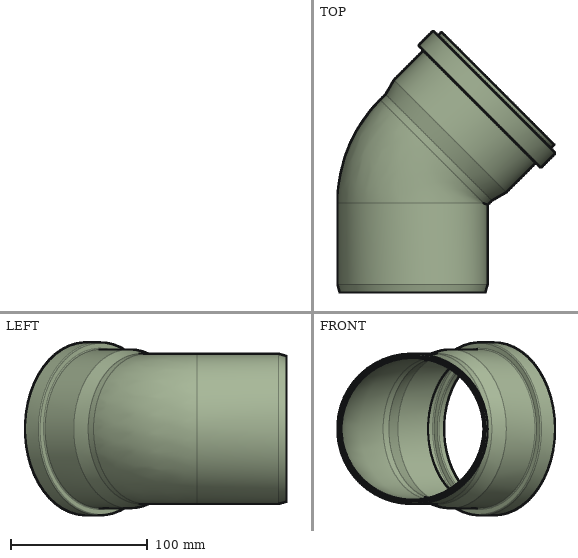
import cadquery as cq
import math


bend_angle = 45.0
bend_radius = 52.0
pipe_radius = 110.2 / 2
bore_radius = 103.8 / 2
spigot_length = 65.5
spigot_taper_length = 6.0
spigot_taper_depth = 1.7

wall = 2.9
socket_radius = 116.5 / 2
socket_bore_radius = socket_radius - wall
lip_radius = 116.8 / 2
lip_bore_radius = lip_radius - wall
flare_angle = 15.0
outer_flare_start = 5.6
inner_flare_start = 5.9
socket_length = 66.8

bead_radius = 126.9 / 2
groove_radius = bead_radius - wall
bead_start = 47.8
bead_end = 63.2
bead_side_wall = 2.6
groove_start = bead_start + bead_side_wall
groove_end = bead_end - bead_side_wall
corner_fillet = 0.8

turn = math.radians(bend_angle)
socket_origin = (bend_radius * (1 - math.cos(turn)), bend_radius * math.sin(turn), 0)


def turned(outline):
    """Revolve an outline of (radius, station) points about the Y axis."""
    return cq.Workplane("XY").polyline(outline).close().revolve(360, (0, 0, 0), (0, 1, 0))


def flare_length(start_radius, end_radius):
    """Axial length of the cone between two radii."""
    return (end_radius - start_radius) / math.tan(math.radians(flare_angle))


def round_band(body, start, end):
    """Fillet the root and crest circles at both sides of a raised band on a turned body."""
    root = cq.selectors.RadiusNthSelector(0)
    crest = cq.selectors.RadiusNthSelector(-1)
    for station in (start, end):
        side_plane = cq.selectors.BoxSelector(
            (-bead_radius, station - corner_fillet / 2, -bead_radius),
            (bead_radius, station + corner_fillet / 2, bead_radius),
        )
        for circle in (root, crest):
            body = body.edges(side_plane).edges(circle).fillet(corner_fillet)
    return body


def place_socket(body):
    """Move a body turned about Y onto the socket axis."""
    return body.rotate((0, 0, 0), (0, 0, 1), -bend_angle).translate(socket_origin)


def make_spigot():
    """Plain pipe end, tapered at the tip."""
    end_radius = pipe_radius - spigot_taper_depth
    return turned([
        (0, 0),
        (pipe_radius, 0),
        (pipe_radius, spigot_taper_length - spigot_length),
        (end_radius, -spigot_length),
        (0, -spigot_length),
    ])


def make_bend(radius):
    """Sweep a disc round the bend, trimmed at the bend axis where it would cross it."""
    disc = cq.Sketch().circle(radius)
    if radius > bend_radius:
        trim_width = 2 * radius
        trim = cq.Sketch().push([(bend_radius + trim_width / 2, 0)]).rect(trim_width, trim_width)
        disc = disc.reset().face(trim, mode="s")
    return (
        cq.Workplane("XZ")
        .placeSketch(disc)
        .revolve(bend_angle, (bend_radius, 1, 0), (bend_radius, 0, 0))
    )


def make_socket():
    """Solid outside of the socket: neck, flare, barrel, bead and lip."""
    flare_end = outer_flare_start + flare_length(pipe_radius, socket_radius)
    body = turned([
        (0, 0),
        (pipe_radius, 0),
        (pipe_radius, outer_flare_start),
        (socket_radius, flare_end),
        (socket_radius, bead_start),
        (bead_radius, bead_start),
        (bead_radius, bead_end),
        (lip_radius, bead_end),
        (lip_radius, socket_length),
        (0, socket_length),
    ])
    return round_band(body, bead_start, bead_end)


def make_socket_bore():
    """Hollow of the socket, with the seal groove as a raised band."""
    flare_end = inner_flare_start + flare_length(bore_radius, socket_bore_radius)
    body = turned([
        (0, 0),
        (bore_radius, 0),
        (bore_radius, inner_flare_start),
        (socket_bore_radius, flare_end),
        (socket_bore_radius, groove_start),
        (groove_radius, groove_start),
        (groove_radius, groove_end),
        (lip_bore_radius, groove_end),
        (lip_bore_radius, socket_length),
        (0, socket_length),
    ])
    return round_band(body, groove_start, groove_end)


def make_spigot_bore():
    """Hollow of the spigot."""
    return turned([(0, 0), (bore_radius, 0), (bore_radius, -spigot_length), (0, -spigot_length)])


outside = make_spigot().union(make_bend(pipe_radius)).union(place_socket(make_socket()))
result = (
    outside
    .cut(make_spigot_bore())
    .cut(make_bend(bore_radius))
    .cut(place_socket(make_socket_bore()))
)